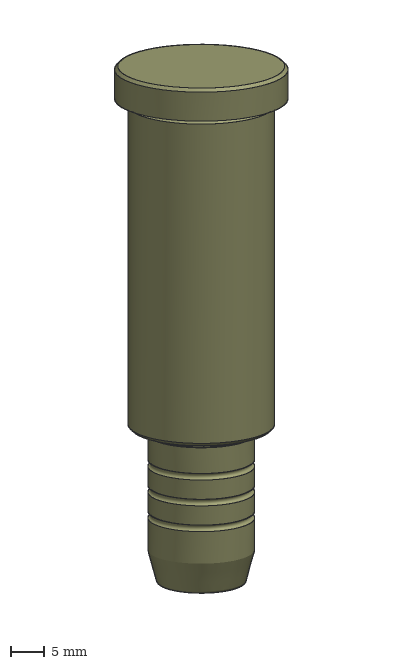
import math

import cadquery as cq

total_length = 80.0
head_height = 5.0
spigot_length = 24.0
lead_in_length = 5.0

head_radius = 13.0
body_radius = 11.0
spigot_radius = 8.0

edge_chamfer = 0.5
tip_fillet = 0.5
lead_in_angle = 15.0

groove_radius = 0.5
groove_width = 2 * groove_radius
spigot_groove_count = 3
spigot_groove_pitch = 4.0
first_groove_center = 10.5

neck_width = 1.0
neck_depth = 0.5


def cylinder(radius, bottom, top):
    """Solid cylinder on the Z axis between two heights."""
    return cq.Workplane("XY").workplane(offset=bottom).circle(radius).extrude(top - bottom)


def groove_cutter(surface_radius, center_height):
    """Ring of circular section centred on a cylindrical surface."""
    return cq.Workplane("XY").add(
        cq.Solid.makeTorus(surface_radius, groove_radius, cq.Vector(0, 0, center_height))
    )


def make_head():
    """Flat head with a chamfered top rim."""
    head = cylinder(head_radius, total_length - head_height, total_length)
    return head.faces(">Z").edges().chamfer(edge_chamfer)


def make_body():
    """Main shank with a chamfered lower rim and a groove under the head."""
    body_top = total_length - head_height
    body = cylinder(body_radius, spigot_length, body_top)
    body = body.faces("<Z").edges().chamfer(edge_chamfer)
    return body.cut(groove_cutter(body_radius, body_top - groove_width / 2))


def make_spigot():
    """Grooved spigot with a tapered, rounded tip and a relief neck at its top."""
    neck_bottom = spigot_length - neck_width
    taper = math.tan(math.radians(lead_in_angle))
    tip_radius = spigot_radius - lead_in_length * taper
    neck_radius = spigot_radius - neck_depth
    spigot = (
        cq.Workplane("XZ")
        .lineTo(tip_radius, 0)
        .lineTo(spigot_radius, lead_in_length)
        .lineTo(spigot_radius, neck_bottom)
        .lineTo(neck_radius, neck_bottom)
        .lineTo(neck_radius, spigot_length)
        .lineTo(0, spigot_length)
        .close()
        .revolve(360, (0, 0, 0), (0, 1, 0))
    )
    spigot = spigot.faces("<Z").edges().fillet(tip_fillet)
    for index in range(spigot_groove_count):
        center_height = first_groove_center + index * spigot_groove_pitch
        spigot = spigot.cut(groove_cutter(spigot_radius, center_height))
    return spigot


result = make_head().union(make_body()).union(make_spigot())